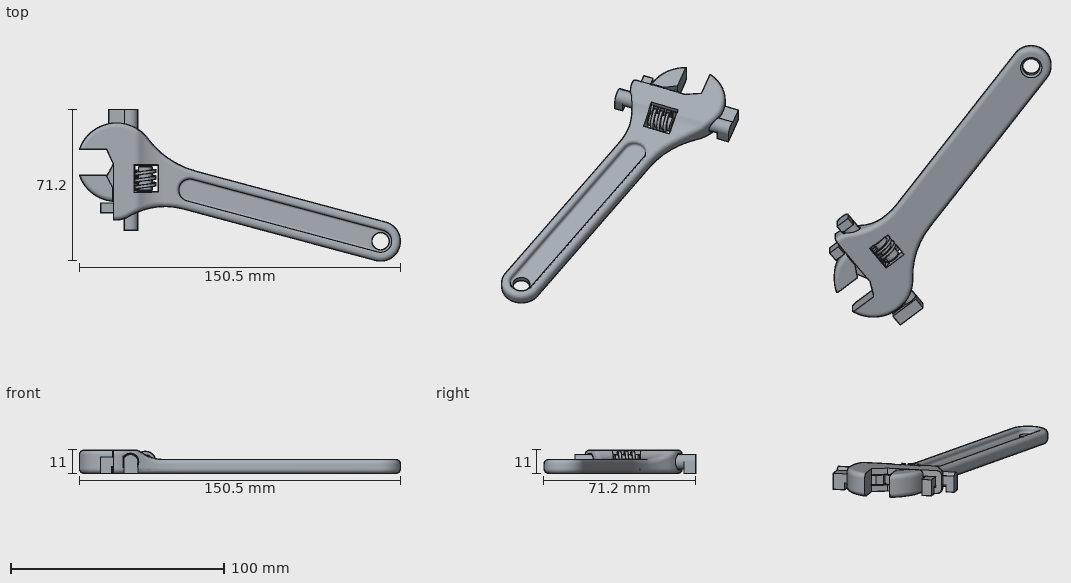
import cadquery as cq
import math


HEAD_HEIGHT = 11.0
HANDLE_HEIGHT = 6.6
EDGE_FILLET = 2.2
HEAD_RADIUS = 18.43
HANDLE_RADIUS = 9.35
HANDLE_TILT = math.radians(15)
HANDLE_END = (123.74, -37.02)
HANG_HOLE_RADIUS = 4.0
HANG_HOLE_CHAMFER = 1.0
UPPER_NECK_RADIUS = 41.2
LOWER_NECK_RADIUS = 33.0
LOBE_RADIUS = 12.1
LOBE_CENTRE = (-0.3, -15.0)

STEP_START_X = 8.54
STEP_MIDDLE_X = 11.26
STEP_END_X = 22.14

HALF_OPENING = 6.0
JAW_TIP_X = -math.sqrt(HEAD_RADIUS**2 - HALF_OPENING**2)
JAW_ROOT_X = -4.65
GUIDE_FACE_X = -1.43
NOTCH_END_Y = -1.0

RECESS_LENGTH = 92.5
RECESS_WALL_RADIUS = 5.2
RECESS_FLOOR_FILLET = 1.1
RECESS_RIM_FILLET = 1.4
RECESS_DEPTH = 3.0

GUIDE_Z = HEAD_HEIGHT / 2
RAIL_X = 6.53
RAIL_RADIUS = 3.5
RAIL_STUB_X = 3.5
WEB_HALF_HEIGHT = 2.2
WEB_LEFT_X = -3.7
GUIDE_GAP = 0.4
GUIDE_BOTTOM_Y = -24.2

JAW_GAP = 0.42
JAW_WEB_CORNER_X = -4.32
JAW_WEB_TOP_X = -0.85
JAW_SLOPE_TOP_X = -4.9
JAW_SLOPE_END_Y = -11.8
JAW_TOP_Y = 0.35
JAW_BACK_X = GUIDE_FACE_X - JAW_GAP
JAW_BOTTOM_Y = -math.sqrt(HEAD_RADIUS**2 - JAW_BACK_X**2)

WORM_X = 13.5
WORM_MIDDLE_Y = -7.6
WORM_LENGTH = 11.8
WORM_CORE_RADIUS = 3.3
WORM_RADIUS = 4.95
WORM_CHAMFER = 0.6
THREAD_PITCH = 3.17
THREAD_WIDTH = 1.4
THREAD_TURNS = 2.5
THREAD_START_Y = -3.98
THREAD_ROOT_OVERLAP = 0.4
RACK_GROOVE_WIDTH = 2.3
RACK_CLEARANCE = 0.3
RACK_GROOVES = 4
WINDOW_LENGTH = 13.2
WINDOW_INSET = 0.45
WINDOW_LEFT_X = 8.2
WINDOW_RIGHT_X = 19.9

FOOT_GAP = 0.8
TOP_SUPPORT_START_Y = JAW_TOP_Y + GUIDE_GAP
TOP_SUPPORT_SLOPE_Y = 4.1
TOP_SUPPORT_END_Y = 24.8
RAIL_SUPPORT_END_Y = -31.87
WEB_SUPPORT_LEFT_X = -7.4
WEB_SUPPORT_TOP_Y = -19.06
WEB_SUPPORT_BOTTOM_Y = -23.7
WEB_SUPPORT_RIGHT_X = 2.9

MARGIN = 1.0


def along_handle(distance, side):
    """Point measured from the handle end: back along the axis, then to its upper side."""
    cos, sin = math.cos(HANDLE_TILT), math.sin(HANDLE_TILT)
    return (
        HANDLE_END[0] - distance * cos + side * sin,
        HANDLE_END[1] + distance * sin + side * cos,
    )


def point_on(centre, radius, angle):
    return (centre[0] + radius * math.cos(angle), centre[1] + radius * math.sin(angle))


def bearing(start, end):
    return math.atan2(end[1] - start[1], end[0] - start[0])


def arc_middle(centre, radius, start, end):
    chord_middle = ((start[0] + end[0]) / 2, (start[1] + end[1]) / 2)
    return point_on(centre, radius, bearing(centre, chord_middle))


def neck_centre(centre, radius, neck_radius, side):
    """Centre of a neck arc tangent to an arc of the head and to one edge of the handle."""
    cos, sin = math.cos(HANDLE_TILT), math.sin(HANDLE_TILT)
    dx = HANDLE_END[0] - centre[0]
    dy = HANDLE_END[1] - centre[1]
    offset = side * (HANDLE_RADIUS + neck_radius)
    across = offset + dx * sin + dy * cos
    axial = dx * cos - dy * sin - math.sqrt((radius + neck_radius) ** 2 - across**2)
    return along_handle(axial, offset), axial


def box(x0, x1, y0, y1, z0, z1):
    return cq.Workplane("XY").box(x1 - x0, y1 - y0, z1 - z0, centered=False).translate((x0, y0, z0))


def wrench_outline():
    """Closed outline of the fixed head, the neck and the handle."""
    head = (0, 0)
    upper, upper_axial = neck_centre(head, HEAD_RADIUS, UPPER_NECK_RADIUS, 1)
    lower, lower_axial = neck_centre(LOBE_CENTRE, LOBE_RADIUS, LOWER_NECK_RADIUS, -1)

    upper_start = point_on(head, HEAD_RADIUS, bearing(head, upper))
    upper_end = along_handle(upper_axial, HANDLE_RADIUS)
    upper_middle = arc_middle(upper, UPPER_NECK_RADIUS, upper_start, upper_end)

    lower_start = along_handle(lower_axial, -HANDLE_RADIUS)
    lower_end = point_on(LOBE_CENTRE, LOBE_RADIUS, bearing(LOBE_CENTRE, lower))
    lower_middle = arc_middle(lower, LOWER_NECK_RADIUS, lower_start, lower_end)

    lobe_end_angle = -math.acos((GUIDE_FACE_X - LOBE_CENTRE[0]) / LOBE_RADIUS)
    lobe_end = point_on(LOBE_CENTRE, LOBE_RADIUS, lobe_end_angle)
    lobe_middle = arc_middle(LOBE_CENTRE, LOBE_RADIUS, lower_end, lobe_end)

    return (
        cq.Workplane("XY")
        .moveTo(JAW_TIP_X, HALF_OPENING)
        .threePointArc((0, HEAD_RADIUS), upper_start)
        .threePointArc(upper_middle, upper_end)
        .lineTo(*along_handle(0, HANDLE_RADIUS))
        .threePointArc(along_handle(-HANDLE_RADIUS, 0), along_handle(0, -HANDLE_RADIUS))
        .lineTo(*lower_start)
        .threePointArc(lower_middle, lower_end)
        .threePointArc(lobe_middle, lobe_end)
        .lineTo(GUIDE_FACE_X, NOTCH_END_Y)
        .lineTo(JAW_ROOT_X, HALF_OPENING)
        .close()
    )


def step_cutter():
    """Space above the handle, bounded below by a crest arc and a valley arc."""
    length = STEP_END_X - STEP_START_X
    drop = HEAD_HEIGHT - HANDLE_HEIGHT
    slope = 2 * math.atan(drop / length)
    crest_radius = (STEP_MIDDLE_X - STEP_START_X) / math.sin(slope)
    valley_radius = (STEP_END_X - STEP_MIDDLE_X) / math.sin(slope)
    crest = (STEP_START_X, HEAD_HEIGHT - crest_radius)
    valley = (STEP_END_X, HANDLE_HEIGHT + valley_radius)
    up, down = math.pi / 2, -math.pi / 2
    far_x = HANDLE_END[0] + HANDLE_RADIUS + MARGIN
    top_z = HEAD_HEIGHT + MARGIN
    reach = 2 * abs(HANDLE_END[1]) + 2 * HEAD_RADIUS
    return (
        cq.Workplane("XZ")
        .moveTo(STEP_START_X, HEAD_HEIGHT)
        .threePointArc(
            point_on(crest, crest_radius, up - slope / 2),
            point_on(crest, crest_radius, up - slope),
        )
        .threePointArc(
            point_on(valley, valley_radius, down - slope / 2),
            (STEP_END_X, HANDLE_HEIGHT),
        )
        .lineTo(far_x, HANDLE_HEIGHT)
        .lineTo(far_x, top_z)
        .lineTo(STEP_START_X, top_z)
        .close()
        .extrude(reach / 2, both=True)
    )


def round_rims(body, keeps_sharp):
    """Fillet the top and bottom edges of the side walls, except the walls that stay sharp."""
    rims = []
    for face in body.faces().vals():
        is_wall = abs(face.normalAt().z) < 1e-6
        if is_wall and not keeps_sharp(face):
            rims += [edge for edge in face.Edges() if not is_vertical(edge)]
    return cq.Workplane(body.val().fillet(EDGE_FILLET, rims))


def is_vertical(edge):
    return edge.geomType() == "LINE" and abs(edge.tangentAt(0).z) > 0.5


def is_fixed_jaw_face(face):
    return face.geomType() == "PLANE" and face.Center().x < GUIDE_FACE_X + GUIDE_GAP


def handle_slot(radius, z0, z1):
    """Round-ended block along the handle axis, its far end round the hanging hole."""
    return (
        cq.Workplane("XY")
        .slot2D(RECESS_LENGTH + 2 * radius, 2 * radius)
        .extrude(z1 - z0)
        .rotate((0, 0, 0), (0, 0, 1), -math.degrees(HANDLE_TILT))
        .translate((*along_handle(RECESS_LENGTH / 2, 0), z0))
    )


def recess_cutter():
    """Handle recess with a filleted floor and a rim that rolls over onto the handle."""
    floor_z = HANDLE_HEIGHT - RECESS_DEPTH
    pocket = handle_slot(RECESS_WALL_RADIUS, floor_z, HANDLE_HEIGHT)
    pocket = pocket.faces("<Z").edges().fillet(RECESS_FLOOR_FILLET)
    flare_radius = RECESS_WALL_RADIUS + RECESS_RIM_FILLET + MARGIN
    flare = handle_slot(flare_radius, HANDLE_HEIGHT, HANDLE_HEIGHT + MARGIN)
    cutter = pocket.union(flare)
    rim = [
        edge
        for face in cutter.faces("|Z").vals()
        for wire in face.innerWires()
        for edge in wire.Edges()
    ]
    return cq.Workplane(cutter.val().fillet(RECESS_RIM_FILLET, rim))


def guide_bar(web_left_x, y0, y1, gap=0):
    """Round rail with a flat web on its left, running along Y, enlarged by the gap."""
    half = WEB_HALF_HEIGHT + gap
    radius = RAIL_RADIUS + gap
    rail = cq.Workplane("XZ", origin=(RAIL_X, y1, GUIDE_Z)).circle(radius).extrude(y1 - y0)
    rail = rail.cut(box(web_left_x - radius, web_left_x, y0, y1, 0, HEAD_HEIGHT))
    return rail.union(box(web_left_x, RAIL_X, y0, y1, GUIDE_Z - half, GUIDE_Z + half))


def hanging_hole():
    """Cutter for the hanging hole, chamfered where it meets the underside."""
    wide_radius = HANG_HOLE_RADIUS + HANG_HOLE_CHAMFER
    bore = cq.Workplane("XY").circle(HANG_HOLE_RADIUS).extrude(HANDLE_HEIGHT)
    flare = cq.Solid.makeCone(wide_radius, HANG_HOLE_RADIUS, HANG_HOLE_CHAMFER)
    return bore.union(cq.Workplane(flare)).translate((*HANDLE_END, 0))


def worm_window():
    """Opening for the worm, drafted so that it narrows towards the underside."""
    draft = math.degrees(math.atan(WINDOW_INSET / HEAD_HEIGHT))
    middle_x = (WINDOW_LEFT_X + WINDOW_RIGHT_X) / 2
    return (
        cq.Workplane("XY", origin=(middle_x, WORM_MIDDLE_Y, HEAD_HEIGHT))
        .rect(WINDOW_RIGHT_X - WINDOW_LEFT_X, WINDOW_LENGTH)
        .extrude(-HEAD_HEIGHT, taper=draft)
    )


def guide_slot():
    """Slot for the sliding guide: web closed at its lower end, rail open at both ends."""
    web_part = guide_bar(JAW_ROOT_X, GUIDE_BOTTOM_Y, TOP_SUPPORT_END_Y, GUIDE_GAP)
    rail_part = guide_bar(RAIL_STUB_X - GUIDE_GAP, RAIL_SUPPORT_END_Y, GUIDE_BOTTOM_Y, GUIDE_GAP)
    return web_part.union(rail_part)


def make_housing():
    body = wrench_outline().extrude(HEAD_HEIGHT).cut(step_cutter())
    body = round_rims(body, is_fixed_jaw_face)
    body = body.cut(recess_cutter()).cut(hanging_hole())
    return body.cut(guide_slot()).cut(worm_window())


def jaw_block():
    """Full-height gripping part of the moving jaw."""
    arc_angle = (math.atan2(-HALF_OPENING, JAW_TIP_X) + math.atan2(JAW_BOTTOM_Y, JAW_BACK_X)) / 2
    block = (
        cq.Workplane("XY")
        .moveTo(JAW_TIP_X, -HALF_OPENING)
        .lineTo(JAW_SLOPE_TOP_X, -HALF_OPENING)
        .lineTo(JAW_BACK_X, JAW_SLOPE_END_Y)
        .lineTo(JAW_BACK_X, JAW_BOTTOM_Y)
        .threePointArc(point_on((0, 0), HEAD_RADIUS, arc_angle), (JAW_TIP_X, -HALF_OPENING))
        .close()
        .extrude(HEAD_HEIGHT)
    )
    return round_rims(block, lambda face: face.geomType() == "PLANE")


def jaw_web():
    """Flat web from the jaw block to the rail, sloped behind the jaw opening."""
    return (
        cq.Workplane("XY", origin=(0, 0, GUIDE_Z))
        .moveTo(JAW_SLOPE_TOP_X, -HALF_OPENING)
        .lineTo(JAW_WEB_CORNER_X, -HALF_OPENING)
        .lineTo(JAW_WEB_TOP_X, JAW_TOP_Y)
        .lineTo(RAIL_X, JAW_TOP_Y)
        .lineTo(RAIL_X, JAW_BOTTOM_Y)
        .lineTo(JAW_BACK_X, JAW_BOTTOM_Y)
        .close()
        .extrude(WEB_HALF_HEIGHT, both=True)
    )


def make_jaw():
    """Moving jaw with its web, its rail and the rack that the worm drives."""
    jaw = jaw_block().union(jaw_web()).union(guide_bar(RAIL_STUB_X, JAW_BOTTOM_Y, JAW_TOP_Y))
    groove_left_x = WORM_X - WORM_RADIUS - RACK_CLEARANCE
    half_groove = RACK_GROOVE_WIDTH / 2
    for index in range(RACK_GROOVES):
        y = THREAD_START_Y + (0.5 - index) * THREAD_PITCH
        groove = box(groove_left_x, WORM_X, y - half_groove, y + half_groove, 0, HEAD_HEIGHT)
        jaw = jaw.cut(groove)
    return jaw


def make_worm():
    """Worm screw: a chamfered core with a right-hand square thread."""
    core = cq.Workplane("XY").circle(WORM_CORE_RADIUS).extrude(WORM_LENGTH)
    core = core.edges().chamfer(WORM_CHAMFER)

    core_start_y = WORM_MIDDLE_Y - WORM_LENGTH / 2
    thread_length = THREAD_TURNS * THREAD_PITCH
    thread_start = THREAD_START_Y - thread_length - core_start_y
    thread_root = WORM_CORE_RADIUS - THREAD_ROOT_OVERLAP
    path = cq.Wire.makeHelix(THREAD_PITCH, thread_length, WORM_CORE_RADIUS)
    thread = (
        cq.Workplane("XZ")
        .center((thread_root + WORM_RADIUS) / 2, 0)
        .rect(WORM_RADIUS - thread_root, THREAD_WIDTH)
        .sweep(cq.Workplane(path), isFrenet=True)
        .rotate((0, 0, 0), (0, 0, 1), 180)
        .translate((0, 0, thread_start))
    )
    worm = core.union(thread).rotate((0, 0, 0), (1, 0, 0), -90)
    return worm.translate((WORM_X, core_start_y, GUIDE_Z))


def make_top_support():
    """Plug for the guide slot above the jaw, sloped like the jaw root, with a foot outside."""
    plug = guide_bar(WEB_LEFT_X, TOP_SUPPORT_START_Y, TOP_SUPPORT_END_Y)
    root_slope = (GUIDE_FACE_X - JAW_ROOT_X) / (HALF_OPENING - NOTCH_END_Y)
    slope_run = (TOP_SUPPORT_SLOPE_Y - TOP_SUPPORT_START_Y) * root_slope
    corner = (
        cq.Workplane("XY")
        .moveTo(WEB_LEFT_X, TOP_SUPPORT_SLOPE_Y)
        .lineTo(WEB_LEFT_X + slope_run, TOP_SUPPORT_START_Y)
        .lineTo(WEB_LEFT_X, TOP_SUPPORT_START_Y)
        .close()
        .extrude(HEAD_HEIGHT)
    )
    foot_y = HEAD_RADIUS + FOOT_GAP
    foot_right_x = RAIL_X + RAIL_RADIUS
    foot = box(WEB_LEFT_X, foot_right_x, foot_y, TOP_SUPPORT_END_Y, 0, GUIDE_Z)
    return plug.cut(corner).union(foot)


def make_rail_support():
    """Plug for the lower end of the rail hole, with a foot outside the head."""
    rail_right_x = RAIL_X + RAIL_RADIUS
    plug = guide_bar(RAIL_STUB_X, RAIL_SUPPORT_END_Y, JAW_BOTTOM_Y - GUIDE_GAP)
    foot_y = LOBE_CENTRE[1] - LOBE_RADIUS - FOOT_GAP
    return plug.union(box(RAIL_STUB_X, rail_right_x, RAIL_SUPPORT_END_Y, foot_y, 0, GUIDE_Z))


def make_web_support():
    """Plug for the side of the web slot below the jaw, with a foot outside the head."""
    y0, y1 = WEB_SUPPORT_BOTTOM_Y, WEB_SUPPORT_TOP_Y
    z0, z1 = GUIDE_Z - WEB_HALF_HEIGHT, GUIDE_Z + WEB_HALF_HEIGHT
    plug = box(WEB_SUPPORT_LEFT_X, WEB_SUPPORT_RIGHT_X, y0, y1, z0, z1)
    return plug.union(box(WEB_SUPPORT_LEFT_X, GUIDE_FACE_X - FOOT_GAP, y0, y1, 0, z1))


housing = make_housing()
jaw = make_jaw()
worm = make_worm()
top_support = make_top_support()
rail_support = make_rail_support()
web_support = make_web_support()

bodies = [housing, jaw, worm, top_support, rail_support, web_support]
result = cq.Compound.makeCompound([body.solids().val() for body in bodies])